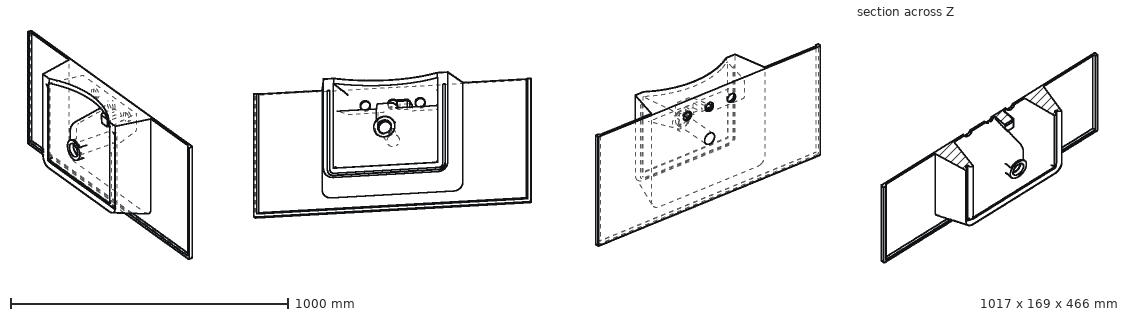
import cadquery as cq
import math


slab_width = 1017.0
slab_height = 466.0
slab_depth = 15.0
sheet_depth = 9.0
slab_corner_radius = 6.0
back_edge_chamfer = 3.0
rim_width = 11.0
rim_slope_run = slab_depth - sheet_depth

skirt_depth = 144.0
skirt_base_half_width = 258.0
skirt_base_bottom = -408.0
skirt_base_radius = 34.0
skirt_end_half_width = 228.0
skirt_end_bottom = -374.0
skirt_end_radius = 36.0

corner_x = skirt_end_half_width - skirt_end_radius
corner_z = skirt_end_bottom + skirt_end_radius
top_wall = 19.0
cavity_ledge_half_width = 167.0
ledge_bottom = -96.0
wall_slope = 0.19
floor_depth = 134.0
floor_corner_z = ledge_bottom - wall_slope * (floor_depth - sheet_depth)
floor_edge_radius = 20.0
cavity_corner_radius = 8.0
ledge_edge_radius = 4.0

notch_half_width = 189.0
notch_rise = 56.0

groove_half_width = 16.0
groove_floor_half_width = 4.6
groove_depth = 15.0
groove_round = groove_half_width - groove_floor_half_width
groove_center_x = skirt_end_half_width - groove_half_width
groove_turn_radius = groove_center_x - corner_x
groove_end_z = -44.0

drain_z = -200.0
drain_diameter = 46.0
drain_seat_diameter = 50.0
drain_seat_depth = 16.0
boss_diameter = 77.0
boss_end_depth = 169.0
channel_half_width = 30.0
channel_edge_radius = 4.0
base_fillet = 5.0
channel_depth = 164.0
channel_top_z = -79.0
channel_corner_z = channel_top_z - wall_slope * (channel_depth - sheet_depth)
channel_bend_radius = 28.0

lug_left = 26.0
lug_right = 73.0
lug_top = -67.0
lug_bottom = -111.0
lug_depth = 66.0
lug_chamfer = 8.0

select_margin = 1.0

tap_diameter = 36.0
tap_spacing = 101.0
tap_z = -66.0


def plane_at(depth):
    """Plane facing -Y at a depth below Y=0; local axes are X and Z."""
    return cq.Workplane("XZ", origin=(0, -depth, 0))


def hanging_outline(work, half_width, bottom, radius):
    """Rectangle hanging from Z=0 with its two lower corners rounded."""
    bend = radius * math.sqrt(0.5)
    x_arc = half_width - radius
    z_arc = bottom + radius
    return (
        work.moveTo(-half_width, 0)
        .lineTo(half_width, 0)
        .lineTo(half_width, z_arc)
        .threePointArc((x_arc + bend, z_arc - bend), (x_arc, bottom))
        .lineTo(-x_arc, bottom)
        .threePointArc((-x_arc - bend, z_arc - bend), (-half_width, z_arc))
        .close()
    )


def make_slab():
    """Thin slab with a raised rim on its two ends and its lower edge."""
    outline = hanging_outline(plane_at(0), slab_width / 2, -slab_height, slab_corner_radius)
    slab = outline.extrude(slab_depth)
    slab = slab.faces(">Y").edges("not(>Z)").chamfer(back_edge_chamfer)
    inner_half = slab_width / 2 - rim_width
    inner_bottom = -slab_height + rim_width
    recess = (
        plane_at(slab_depth)
        .moveTo(-inner_half, inner_bottom)
        .lineTo(inner_half, inner_bottom)
        .lineTo(inner_half, slab_depth)
        .lineTo(-inner_half, slab_depth)
        .close()
        .extrude(-rim_slope_run, taper=45)
    )
    return slab.cut(recess)


def make_skirt():
    """Skirt tapering from the counter to its open face."""
    base = hanging_outline(
        plane_at(sheet_depth), skirt_base_half_width, skirt_base_bottom, skirt_base_radius
    )
    end = base.workplane(offset=skirt_depth - sheet_depth)
    outline = hanging_outline(end, skirt_end_half_width, skirt_end_bottom, skirt_end_radius)
    return outline.loft(ruled=True)


def make_cavity():
    """Hollow under the counter: a deep tap ledge, a steep step and a shallow floor."""
    lip_z = corner_z + wall_slope * (skirt_depth - floor_depth)
    side = (
        cq.Workplane("YZ")
        .polyline([
            (-skirt_depth, -top_wall),
            (-sheet_depth, -top_wall),
            (-sheet_depth, ledge_bottom),
            (-floor_depth, floor_corner_z),
            (-floor_depth, lip_z),
            (-skirt_depth, corner_z),
        ])
        .close()
        .extrude(skirt_end_half_width, both=True)
    )
    plan = (
        cq.Workplane("XY")
        .polyline([
            (-cavity_ledge_half_width, -sheet_depth),
            (cavity_ledge_half_width, -sheet_depth),
            (corner_x, -skirt_depth),
            (-corner_x, -skirt_depth),
        ])
        .close()
        .extrude(-slab_height)
    )
    cavity = side.intersect(plan)
    step_edge = cq.selectors.NearestToPointSelector((0, -floor_depth, floor_corner_z))
    cavity = cavity.edges(step_edge).fillet(floor_edge_radius)
    step_and_floor = cq.selectors.BoxSelector(
        (-corner_x, -floor_depth - select_margin, corner_z - select_margin),
        (corner_x, -sheet_depth - select_margin, ledge_bottom - select_margin),
    )
    cavity = cavity.edges(step_and_floor).edges("not(|X and >Z)").fillet(cavity_corner_radius)
    return cavity.faces(">Y").edges().fillet(ledge_edge_radius)


def make_notch():
    """Arched cut through the top wall of the skirt."""
    return (
        cq.Workplane("XY")
        .moveTo(-notch_half_width, -skirt_depth)
        .threePointArc((0, -skirt_depth + notch_rise), (notch_half_width, -skirt_depth))
        .close()
        .extrude(-top_wall)
    )


def groove_section(work, center, half_only=False):
    """Flat-bottomed groove section with convex sides, open at the skirt face."""
    bend = groove_round * math.sqrt(0.5)
    arc_y = -skirt_depth + groove_round
    floor_y = -skirt_depth + groove_depth
    wide = groove_half_width
    narrow = groove_floor_half_width
    work = (
        work.moveTo(center + wide, -skirt_depth)
        .threePointArc((center + wide - bend, arc_y - bend), (center + narrow, arc_y))
        .lineTo(center + narrow, floor_y)
    )
    if half_only:
        return work.lineTo(center, floor_y).lineTo(center, -skirt_depth).close()
    return (
        work.lineTo(center - narrow, floor_y)
        .lineTo(center - narrow, arc_y)
        .threePointArc((center - wide + bend, arc_y - bend), (center - wide, -skirt_depth))
        .close()
    )


def make_groove():
    """U-shaped groove: two legs, two turned corners, two rounded ends and the run between."""
    leg = groove_section(cq.Workplane("XY").workplane(offset=corner_z), groove_center_x)
    right = leg.extrude(groove_end_z - corner_z)
    end = groove_section(cq.Workplane("XY").workplane(offset=groove_end_z), groove_center_x, True)
    right = right.union(end.revolve(360, (groove_center_x, 0), (groove_center_x, 1)))
    turn = groove_section(cq.Workplane("XY").workplane(offset=corner_z), corner_x + groove_turn_radius)
    right = right.union(turn.revolve(90, (corner_x, 0), (corner_x, 1)))
    run_center = corner_z - groove_turn_radius
    across = cq.Plane(origin=(0, 0, 0), xDir=(0, 0, 1), normal=(-1, 0, 0))
    run = groove_section(cq.Workplane(across), run_center).extrude(corner_x, both=True)
    return right.union(right.mirror("YZ")).union(run)


def make_channel():
    """Overflow channel that follows the step and floor down to the drain."""
    side = (
        cq.Workplane("YZ")
        .polyline([
            (-sheet_depth, channel_top_z),
            (-channel_depth, channel_corner_z),
            (-channel_depth, drain_z),
            (-floor_depth, drain_z),
            (-floor_depth, floor_corner_z - floor_edge_radius),
            (-sheet_depth, ledge_bottom - floor_edge_radius),
        ])
        .close()
        .extrude(channel_half_width, both=True)
    )
    bend_edge = cq.selectors.NearestToPointSelector((0, -channel_depth, channel_corner_z))
    side = side.edges(bend_edge).fillet(channel_bend_radius)
    return side.faces("<Y").edges("|Z").fillet(channel_edge_radius)


def make_lug():
    """Small chamfered block standing on the step beside the channel."""
    lug = cq.Workplane("XY").box(
        lug_right - lug_left, lug_depth - sheet_depth, lug_top - lug_bottom, centered=False
    )
    lug = lug.translate((lug_left, -lug_depth, lug_bottom))
    return lug.edges("(>X and >Z) or (<Y and >X) or (<Y and >Z)").chamfer(lug_chamfer)


def make_boss():
    return plane_at(floor_depth).center(0, drain_z).circle(boss_diameter / 2).extrude(
        boss_end_depth - floor_depth
    )


def make_bore(x, z, diameter, depth):
    return plane_at(0).center(x, z).circle(diameter / 2).extrude(depth)


def make_drain_seat():
    seat = plane_at(boss_end_depth).center(0, drain_z).circle(drain_seat_diameter / 2)
    return seat.extrude(-drain_seat_depth)


body = make_slab().union(make_skirt())
body = body.cut(make_cavity()).cut(make_notch()).cut(make_groove())
body = body.union(make_channel()).union(make_boss())

boss_reach = boss_diameter / 2 + select_margin
boss_base = cq.selectors.BoxSelector(
    (-boss_reach, -floor_depth - select_margin, drain_z - boss_reach),
    (boss_reach, -floor_depth + select_margin, drain_z + boss_reach),
)
channel_base = cq.selectors.BoxSelector(
    (-channel_half_width - select_margin, -floor_depth - select_margin, drain_z),
    (channel_half_width + select_margin, -sheet_depth - ledge_edge_radius, ledge_bottom - base_fillet),
)
body = body.edges(boss_base + channel_base).fillet(base_fillet)
body = body.union(make_lug())

body = body.cut(make_bore(0, drain_z, drain_diameter, boss_end_depth))
body = body.cut(make_drain_seat())
for tap_x in (-tap_spacing, 0, tap_spacing):
    body = body.cut(make_bore(tap_x, tap_z, tap_diameter, sheet_depth))

result = body